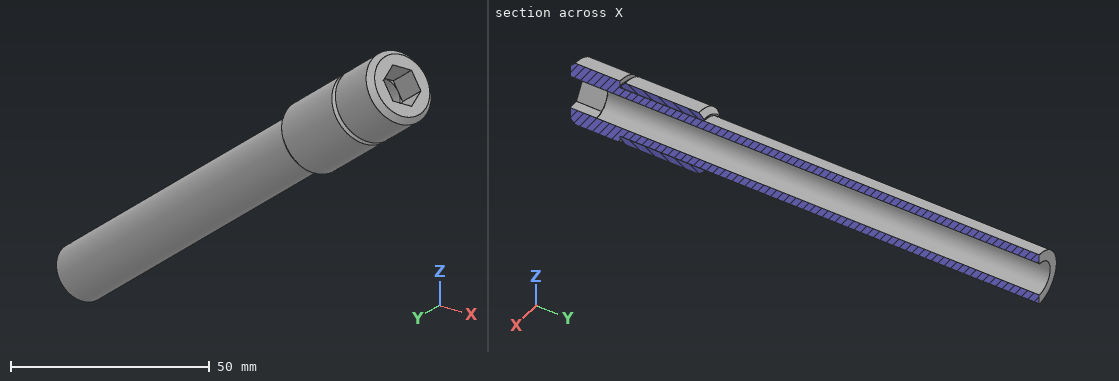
import cadquery as cq
import math

total_length = 140.0
head_diameter = 20.0
head_length = 15.0
sleeve_end = 40.0
shank_diameter = 16.0
bore_diameter = 10.0
hex_across_flats = 10.0
hex_depth = 8.0
edge_chamfer = 1.5

hex_across_corners = hex_across_flats / math.cos(math.pi / 6)
sleeve_length = sleeve_end - head_length
front_y = -total_length / 2
shoulder_y = front_y + head_length


def plane_at(y):
    """Plane across the axis, with its normal along +Y and its X axis along X."""
    return cq.Plane(origin=(0, y, 0), xDir=(1, 0, 0), normal=(0, 1, 0))


def make_bolt():
    """Hollow bolt: chamfered cylindrical head, plain shank, through bore and hex socket."""
    head = (
        cq.Workplane(plane_at(front_y))
        .circle(head_diameter / 2)
        .extrude(head_length)
        .faces("<Y")
        .chamfer(edge_chamfer)
    )
    shank = cq.Workplane(plane_at(front_y)).circle(shank_diameter / 2).extrude(total_length)
    bore = cq.Workplane(plane_at(front_y)).circle(bore_diameter / 2).extrude(total_length)
    socket = cq.Workplane(plane_at(front_y)).polygon(6, hex_across_corners).extrude(hex_depth)
    return head.union(shank).cut(bore).cut(socket)


def make_sleeve():
    """Sleeve around the shank, against the head, with both outer rims chamfered."""
    return (
        cq.Workplane(plane_at(shoulder_y))
        .circle(head_diameter / 2)
        .extrude(sleeve_length)
        .faces("<Y or >Y")
        .chamfer(edge_chamfer)
        .cut(cq.Workplane(plane_at(shoulder_y)).circle(shank_diameter / 2).extrude(sleeve_length))
    )


bolt = make_bolt()
sleeve = make_sleeve()

result = cq.Compound.makeCompound([bolt.val(), sleeve.val()])